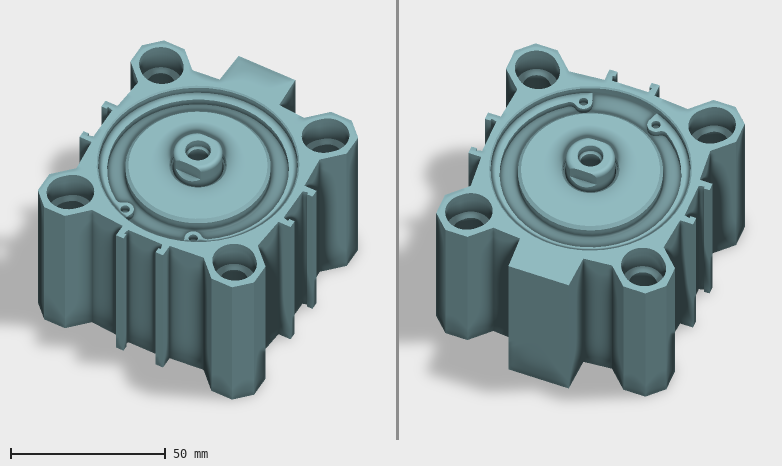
import cadquery as cq
import math

HOUSING_HEIGHT = 57.0
ROD_PROTRUSION = 7.0
ROD_TOP = HOUSING_HEIGHT + ROD_PROTRUSION

LUG_REACH = 40.0
LUG_FLAT_END = 34.75
LUG_FLAT_START = 27.1
SIDE_ROOT = 33.5
LUG_ROOT = LUG_FLAT_START - (LUG_REACH - SIDE_ROOT)
SIDE_CREST = 34.6
LUG_HOLE_OFFSET = 30.4
LUG_SLOT_SPREAD = 1.5
LUG_HOLE_WIDTH = 9.0
LUG_BORE_WIDTH = 14.0
LUG_BORE_DEPTH = 10.15
LUG_ANGLES = (45, 135, 225, 315)

RAIL_HALF_WIDTH = 8.7
RAIL_REACH = 39.05
RAIL_LIP = 2.0
SLOT_FLOOR = 35.2
SLOT_MOUTH_HALF = 5.9
SLOT_FLOOR_HALF = 6.3
SLOT_NECK_HALF = 6.8
RAIL_ANGLES = (0, 180, 270)

PORT_REACH = 46.0
PORT_TOP_HALF = 10.5
PORT_ROOT_HALF = 11.0
PORT_ROOT = 34.4

MOUTH_DIAMETER = 65.6
SEAT_DIAMETER = 64.7
GROOVE_DIAMETER = 68.2
RING_DEPTH = 2.9
RING_THICKNESS = 2.4
RING_TOP = HOUSING_HEIGHT - RING_DEPTH
FLANGE_TOP = RING_TOP - RING_THICKNESS
FLANGE_THICKNESS = 8.6
RECESS_FLOOR = FLANGE_TOP - FLANGE_THICKNESS

RING_INNER_DIAMETER = 58.8
EYE_CIRCLE_RADIUS = 28.8
EYE_ANGLE = 25.9
EYE_RADIUS = 2.8
EYE_HOLE_DIAMETER = 3.0
EYE_BLEND = 2.15

BOSS_DIAMETER = 47.0
BOSS_SETBACK = 0.7
BOSS_TOP = HOUSING_HEIGHT - BOSS_SETBACK
BOSS_CHAMFER = 1.0
BOSS_ROOT_FILLET = 0.7
ROD_BORE_DIAMETER = 16.5
WIPER_DIAMETER = 17.7
WIPER_DEPTH = 1.0
WIPER_MOUTH_DIAMETER = 18.7

ROD_DIAMETER = 16.0
ROD_TOP_FILLET = 1.6
FLAT_HALF_WIDTH = 6.5
FLAT_LENGTH = 5.25
ROD_HOLE_DIAMETER = 8.25
ROD_HOLE_MOUTH = 8.6
ROD_HOLE_DEPTH = 3.0
DRILL_DIAMETER = 6.6
DRILL_DEPTH = 12.9
DRILL_TIP_ANGLE = 118


def disc(diameter, bottom, top):
    return cq.Workplane("XY").workplane(offset=bottom).circle(diameter / 2).extrude(top - bottom)


def cone(bottom_diameter, top_diameter, bottom, top):
    return cq.Workplane(cq.Solid.makeCone(
        bottom_diameter / 2, top_diameter / 2, top - bottom, cq.Vector(0, 0, bottom)))


def prism(points):
    return cq.Workplane("XY").polyline(points).close().extrude(HOUSING_HEIGHT)


def turned(point, quarter_turns):
    x, y = point
    for _ in range(quarter_turns):
        x, y = -y, x
    return x, y


def barrel():
    """Four-lugged cross-section: one quarter of its corners, turned four times."""
    quarter = [
        (SIDE_CREST, -RAIL_HALF_WIDTH),
        (SIDE_CREST, RAIL_HALF_WIDTH),
        (SIDE_ROOT, LUG_ROOT),
        (LUG_REACH, LUG_FLAT_START),
        (LUG_REACH, LUG_FLAT_END),
        (LUG_FLAT_END, LUG_REACH),
        (LUG_FLAT_START, LUG_REACH),
        (LUG_ROOT, SIDE_ROOT),
    ]
    return prism([turned(point, turn) for turn in range(4) for point in quarter])


def rail_pair():
    half = [
        (SIDE_ROOT, RAIL_HALF_WIDTH),
        (RAIL_REACH, RAIL_HALF_WIDTH),
        (RAIL_REACH, SLOT_MOUTH_HALF),
        (RAIL_REACH - RAIL_LIP, SLOT_MOUTH_HALF),
        (RAIL_REACH - RAIL_LIP, SLOT_NECK_HALF),
        (SLOT_FLOOR, SLOT_FLOOR_HALF),
    ]
    return prism(half + [(x, -y) for x, y in reversed(half)])


def port_block():
    return prism([
        (-PORT_ROOT_HALF, PORT_ROOT),
        (-PORT_ROOT_HALF, SIDE_ROOT),
        (PORT_ROOT_HALF, SIDE_ROOT),
        (PORT_ROOT_HALF, PORT_ROOT),
        (PORT_TOP_HALF, PORT_REACH),
        (-PORT_TOP_HALF, PORT_REACH),
    ])


def lug_hole():
    """Cutter for the stepped slot through a lug, placed on +X and stretched radially."""
    radius = LUG_HOLE_OFFSET * math.sqrt(2)
    through = cq.Workplane("XY").center(radius, 0)
    bore = cq.Workplane("XY").workplane(offset=HOUSING_HEIGHT - LUG_BORE_DEPTH).center(radius, 0)
    return (
        through.slot2D(LUG_HOLE_WIDTH + LUG_SLOT_SPREAD, LUG_HOLE_WIDTH).extrude(HOUSING_HEIGHT)
        .union(bore.slot2D(LUG_BORE_WIDTH + LUG_SLOT_SPREAD, LUG_BORE_WIDTH).extrude(LUG_BORE_DEPTH))
    )


def make_housing():
    body = barrel().union(port_block())
    for angle in RAIL_ANGLES:
        body = body.union(rail_pair().rotate((0, 0, 0), (0, 0, 1), angle))
    for angle in LUG_ANGLES:
        body = body.cut(lug_hole().rotate((0, 0, 0), (0, 0, 1), angle))
    mouth_bottom = HOUSING_HEIGHT - (MOUTH_DIAMETER - SEAT_DIAMETER) / 2
    return (
        body.cut(disc(SEAT_DIAMETER, RECESS_FLOOR, HOUSING_HEIGHT))
        .cut(cone(SEAT_DIAMETER, MOUTH_DIAMETER, mouth_bottom, HOUSING_HEIGHT))
        .cut(disc(GROOVE_DIAMETER, FLANGE_TOP, RING_TOP))
    )


def make_retaining_ring():
    """Open ring with an eye at each end; each end face is radial and tangent to its eye."""
    eye_x = EYE_CIRCLE_RADIUS * math.sin(math.radians(EYE_ANGLE))
    eye_y = -EYE_CIRCLE_RADIUS * math.cos(math.radians(EYE_ANGLE))
    eye_centers = [(-eye_x, eye_y), (eye_x, eye_y)]
    end_angle = math.radians(EYE_ANGLE) - math.asin(EYE_RADIUS / EYE_CIRCLE_RADIUS)
    gap_depth = GROOVE_DIAMETER
    gap_half = gap_depth * math.tan(end_angle)

    plane = cq.Workplane("XY").workplane(offset=FLANGE_TOP)
    eyes = plane.pushPoints(eye_centers).circle(EYE_RADIUS).extrude(RING_THICKNESS)
    gap_corners = [(0, 0), (-gap_half, -gap_depth), (gap_half, -gap_depth)]
    gap = plane.polyline(gap_corners).close().extrude(RING_THICKNESS)
    ring = (
        disc(GROOVE_DIAMETER, FLANGE_TOP, RING_TOP)
        .cut(disc(RING_INNER_DIAMETER, FLANGE_TOP, RING_TOP))
        .cut(gap)
        .union(eyes)
    )
    blend_x = eye_x + EYE_RADIUS
    corner = cq.selectors.BoxSelector(
        (eye_x, eye_y - EYE_RADIUS, FLANGE_TOP), (blend_x, eye_y + EYE_RADIUS, RING_TOP))
    mirror_corner = cq.selectors.BoxSelector(
        (-eye_x, eye_y - EYE_RADIUS, FLANGE_TOP), (-blend_x, eye_y + EYE_RADIUS, RING_TOP))
    ring = ring.edges("|Z").edges(corner + mirror_corner).fillet(EYE_BLEND)
    holes = plane.pushPoints(eye_centers).circle(EYE_HOLE_DIAMETER / 2).extrude(RING_THICKNESS)
    return ring.cut(holes)


def make_cover():
    chamfer_bottom = BOSS_TOP - BOSS_CHAMFER
    boss_top_diameter = BOSS_DIAMETER - 2 * BOSS_CHAMFER
    flange = disc(SEAT_DIAMETER, RECESS_FLOOR, FLANGE_TOP)
    boss = disc(BOSS_DIAMETER, FLANGE_TOP, chamfer_bottom)
    boss_chamfer = cone(BOSS_DIAMETER, boss_top_diameter, chamfer_bottom, BOSS_TOP)
    boss_root = cq.selectors.RadiusNthSelector(0)
    body = flange.union(boss).faces("|Z").faces(">Z[-2]").edges(boss_root).fillet(BOSS_ROOT_FILLET)
    mouth_depth = (WIPER_MOUTH_DIAMETER - WIPER_DIAMETER) / 2
    return (
        body.union(boss_chamfer)
        .cut(disc(ROD_BORE_DIAMETER, RECESS_FLOOR, BOSS_TOP))
        .cut(disc(WIPER_DIAMETER, BOSS_TOP - WIPER_DEPTH, BOSS_TOP))
        .cut(cone(WIPER_DIAMETER, WIPER_MOUTH_DIAMETER, BOSS_TOP - mouth_depth, BOSS_TOP))
    )


def wrench_flat():
    """Cutter for the flat on the +Y side, with a 45 degree run-out at its lower end."""
    flat_bottom = ROD_TOP - FLAT_LENGTH
    outside = ROD_DIAMETER
    run_out = outside - FLAT_HALF_WIDTH
    return (
        cq.Workplane("YZ")
        .polyline([
            (FLAT_HALF_WIDTH, ROD_TOP),
            (FLAT_HALF_WIDTH, flat_bottom),
            (outside, flat_bottom - run_out),
            (outside, ROD_TOP),
        ])
        .close().extrude(ROD_DIAMETER / 2, both=True)
    )


def make_rod():
    rod = disc(ROD_DIAMETER, RECESS_FLOOR, ROD_TOP).faces(">Z").edges().fillet(ROD_TOP_FILLET)
    for angle in (0, 180):
        rod = rod.cut(wrench_flat().rotate((0, 0, 0), (0, 0, 1), angle))
    mouth_depth = (ROD_HOLE_MOUTH - ROD_HOLE_DIAMETER) / 2
    drill_bottom = ROD_TOP - DRILL_DEPTH
    tip_slope = math.tan(math.radians(DRILL_TIP_ANGLE / 2))
    tip_length = DRILL_DIAMETER / 2 / tip_slope
    step_bottom = ROD_TOP - ROD_HOLE_DEPTH
    step_length = (ROD_HOLE_DIAMETER - DRILL_DIAMETER) / 2 / tip_slope
    return (
        rod.cut(disc(ROD_HOLE_DIAMETER, step_bottom, ROD_TOP))
        .cut(cone(ROD_HOLE_DIAMETER, ROD_HOLE_MOUTH, ROD_TOP - mouth_depth, ROD_TOP))
        .cut(cone(DRILL_DIAMETER, ROD_HOLE_DIAMETER, step_bottom - step_length, step_bottom))
        .cut(disc(DRILL_DIAMETER, drill_bottom, ROD_TOP))
        .cut(cone(0, DRILL_DIAMETER, drill_bottom - tip_length, drill_bottom))
    )


housing = make_housing()
retaining_ring = make_retaining_ring()
cover = make_cover()
rod = make_rod()

bodies = [housing, retaining_ring, cover, rod]
result = cq.Compound.makeCompound([body.solids().val() for body in bodies])